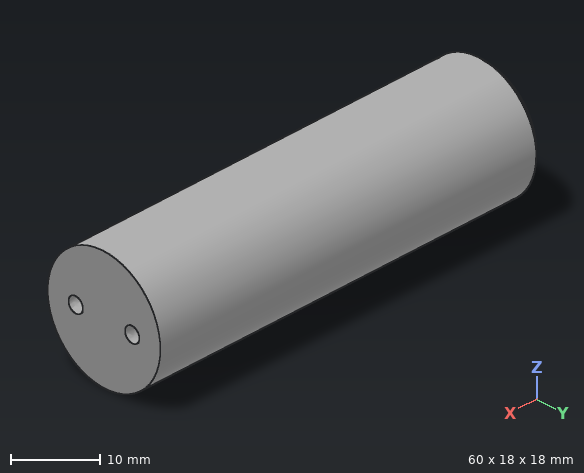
import cadquery as cq
import math

rod_length = 60.0
rod_diameter = 18.0
end_chamfer = 0.9

channel_diameter = 2.3
channel_circle_radius = 4.5
helix_angle = 15.0
channel_overrun = 3.0
helix_pitch = math.pi * rod_diameter / math.tan(math.radians(helix_angle))


def make_rod():
    """Cylinder rising along +Z from its plain end, chamfered around the upper end."""
    rod = cq.Workplane("XY").circle(rod_diameter / 2).extrude(rod_length)
    return rod.faces(">Z").edges().chamfer(end_chamfer)


def make_channel(plain_end_angle):
    """Round helical cutter that runs past both end faces of the rod."""
    cutter_length = rod_length + 2 * channel_overrun
    path = cq.Workplane(cq.Wire.makeHelix(helix_pitch, cutter_length, channel_circle_radius))
    channel = (
        cq.Workplane("XY")
        .center(channel_circle_radius, 0)
        .circle(channel_diameter / 2)
        .sweep(path, isFrenet=True)
    )
    overrun_angle = 360 * channel_overrun / helix_pitch
    turned_channel = channel.rotate((0, 0, 0), (0, 0, 1), plain_end_angle - overrun_angle)
    return turned_channel.translate((0, 0, -channel_overrun))


rod = make_rod()
for plain_end_angle in (0, 180):
    rod = rod.cut(make_channel(plain_end_angle))

lying_rod = rod.rotate((0, 0, 0), (0, 0, 1), 90).rotate((0, 0, 0), (0, 1, 0), -90)
result = lying_rod.translate((rod_length / 2, 0, 0))